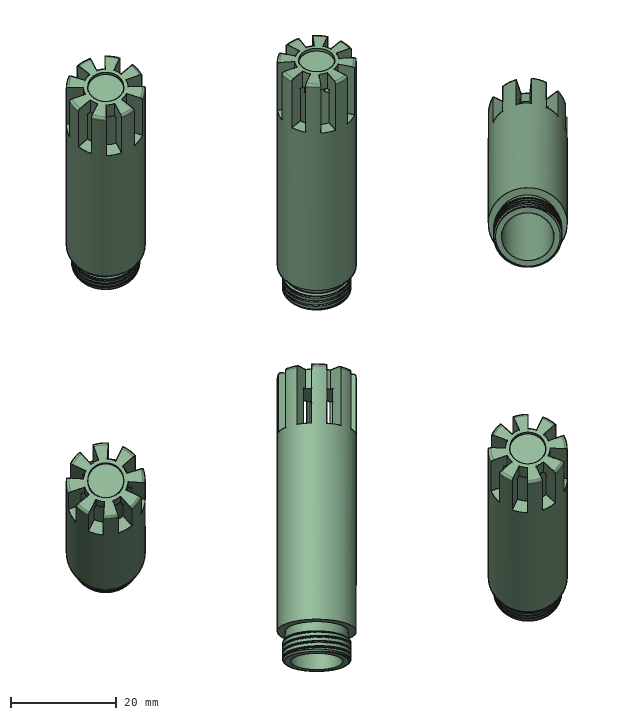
import cadquery as cq
import math

TOTAL_HEIGHT = 57.0
BODY_RADIUS = 7.495
BODY_BOTTOM = 6.0
TOP_EDGE_FILLET = 0.5

BORE_RADIUS = 4.95
CAP_THICKNESS = 3.9
RECESS_RADIUS = 3.4
RECESS_DEPTH = 0.7

SLOT_COUNT = 8
SLOT_PITCH_ANGLE = 360 / SLOT_COUNT
SLOT_ANGLE = SLOT_PITCH_ANGLE / 2
SLOT_DEPTH = 11.85
SLOT_INNER_RADIUS = 4.2

NECK_RADIUS = 6.0
THREAD_RADIUS = 6.5
THREAD_LENGTH = 4.1
THREAD_CHAMFER = 0.35
THREAD_PITCH = 1.0
GROOVE_ROOT_RADIUS = 6.1
GROOVE_WIDTH = 0.35
GROOVE_OVERSHOOT = 0.15
THREAD_START = -3 / 4 * THREAD_PITCH
THREAD_TURNS = 6


def cylinder(radius, bottom, top):
    return cq.Workplane("XY").workplane(offset=bottom).circle(radius).extrude(top - bottom)


def outer_form():
    body = cylinder(BODY_RADIUS, BODY_BOTTOM, TOTAL_HEIGHT).faces(">Z").edges().fillet(TOP_EDGE_FILLET)
    neck = cylinder(NECK_RADIUS, THREAD_LENGTH, BODY_BOTTOM)
    return body.union(neck)


def slot_cutter():
    """Radial sector between the cap wall and a circle outside the body."""
    outside = 2 * BODY_RADIUS
    end = math.radians(SLOT_ANGLE)
    middle = end / 2

    def at(radius, angle):
        return (radius * math.cos(angle), radius * math.sin(angle))

    return (
        cq.Workplane("XY")
        .workplane(offset=TOTAL_HEIGHT - SLOT_DEPTH)
        .moveTo(*at(SLOT_INNER_RADIUS, 0))
        .lineTo(*at(outside, 0))
        .threePointArc(at(outside, middle), at(outside, end))
        .lineTo(*at(SLOT_INNER_RADIUS, end))
        .threePointArc(at(SLOT_INNER_RADIUS, middle), at(SLOT_INNER_RADIUS, 0))
        .close()
        .extrude(SLOT_DEPTH)
    )


def thread_groove():
    """Right-handed helical groove with a square-cut section."""
    path = cq.Wire.makeHelix(
        THREAD_PITCH, THREAD_TURNS * THREAD_PITCH, THREAD_RADIUS, center=cq.Vector(0, 0, THREAD_START)
    )
    cutter_radius = THREAD_RADIUS + GROOVE_OVERSHOOT
    groove_bottom = THREAD_START - GROOVE_WIDTH / 2
    groove_top = THREAD_START + GROOVE_WIDTH / 2
    section = cq.Workplane("XZ").polyline([
        (GROOVE_ROOT_RADIUS, groove_bottom),
        (cutter_radius, groove_bottom),
        (cutter_radius, groove_top),
        (GROOVE_ROOT_RADIUS, groove_top),
    ]).close()
    return section.sweep(cq.Workplane(obj=path), isFrenet=True)


def threaded_end():
    """Grooved bar longer than the helix, trimmed to the chamfered thread blank."""
    bar_bottom = THREAD_START - THREAD_PITCH
    bar_top = THREAD_START + (THREAD_TURNS + 1) * THREAD_PITCH
    grooved_bar = cylinder(THREAD_RADIUS, bar_bottom, bar_top).cut(thread_groove())
    blank = cylinder(THREAD_RADIUS, 0, THREAD_LENGTH).faces("<Z or >Z").edges().chamfer(THREAD_CHAMFER)
    return grooved_bar.intersect(blank)


result = outer_form().union(threaded_end())
result = result.cut(cylinder(BORE_RADIUS, 0, TOTAL_HEIGHT - CAP_THICKNESS))
result = result.cut(cylinder(RECESS_RADIUS, TOTAL_HEIGHT - RECESS_DEPTH, TOTAL_HEIGHT))

slot = slot_cutter()
for index in range(SLOT_COUNT):
    result = result.cut(slot.rotate((0, 0, 0), (0, 0, 1), index * SLOT_PITCH_ANGLE))